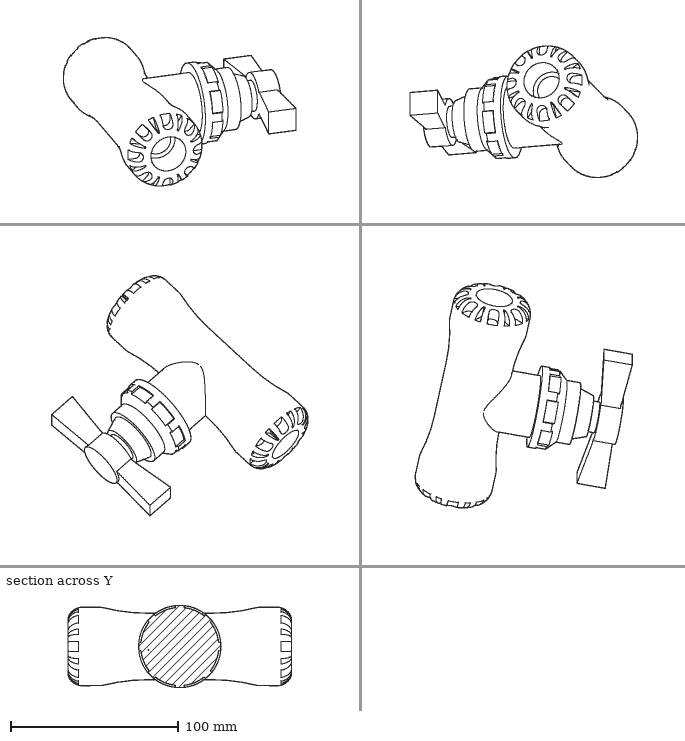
import cadquery as cq
import math


RUN_LENGTH = 134
CAP_RADIUS = 47.0 / 2
CAP_ROUND = 8.0
CAP_LENGTH = 20.2
FLARE_BLEND = 3.6
WAIST_RADIUS = 39.9 / 2
WAIST_LENGTH = 38.0
SOCKET_RADIUS = 22.0 / 2
SOCKET_DEPTH = CAP_LENGTH
BORE_DIAMETER = 16.5

SLOT_COUNT = 8
SLOT_DEPTH = 6.5
SLOT_WIDTH = 6.2
SLOT_INNER_RADIUS = 15.8
WEDGE_APEX_RADIUS = 13.5
WEDGE_HALF_ANGLE = 10

OVERALL_DEPTH = 112.5
NUT_START = 37.7
NUT_RECESS_START = 42.3
COLLAR_START = 53.9
BONNET_START = 62.2
STEM_START = 71.3
HUB_START = 75.6
BRANCH_END = OVERALL_DEPTH - CAP_RADIUS
NECK_RADIUS = 37.7 / 2
NUT_RADIUS = 49.3 / 2
BONNET_BASE_RADIUS = 31.2 / 2
BONNET_TOP_RADIUS = 25.0 / 2
STEM_RADIUS = 18.8 / 2
HUB_RADIUS = 28.1 / 2

RECESS_COUNT = 8
RECESS_DEPTH = 1.2
RECESS_ANGLE = 32

HANDLE_SPAN = 84.4
HANDLE_THICKNESS = 14.3
HANDLE_TIP_DROP = 3.9
HANDLE_ROOT_STEP = 1.5

HALF_RUN = RUN_LENGTH / 2
HALF_WAIST = WAIST_LENGTH / 2


def run_body():
    """Solid run: waist, a flare on each side and a rounded cap at each end."""
    flare_end = HALF_RUN - CAP_LENGTH
    flare_run = flare_end - HALF_WAIST
    flare_rise = CAP_RADIUS - WAIST_RADIUS
    flare_arc_radius = (flare_run**2 + flare_rise**2) / (2 * flare_rise)
    flare_mid_x = flare_run / 2
    flare_mid_rise = flare_arc_radius - math.sqrt(flare_arc_radius**2 - flare_mid_x**2)
    flare_mid = (HALF_WAIST + flare_mid_x, WAIST_RADIUS + flare_mid_rise)
    round_start = HALF_RUN - CAP_ROUND
    round_offset = CAP_ROUND * math.sqrt(0.5)
    round_mid = (round_start + round_offset, CAP_RADIUS - CAP_ROUND + round_offset)
    end_profile = (
        cq.Workplane("XY")
        .moveTo(HALF_WAIST, 0)
        .lineTo(HALF_WAIST, WAIST_RADIUS)
        .threePointArc(flare_mid, (flare_end, CAP_RADIUS))
        .lineTo(round_start, CAP_RADIUS)
        .threePointArc(round_mid, (HALF_RUN, CAP_RADIUS - CAP_ROUND))
        .lineTo(HALF_RUN, 0)
        .close()
    )
    end = end_profile.revolve(360, (0, 0, 0), (1, 0, 0))
    cap_edge = cq.selectors.NearestToPointSelector((flare_end, 0, 0))
    end = end.edges(cap_edge).fillet(FLARE_BLEND)
    waist = cq.Workplane("YZ", origin=(-HALF_WAIST, 0, 0)).circle(WAIST_RADIUS).extrude(WAIST_LENGTH)
    return waist.union(end).union(end.mirror("YZ"))


def cap_slots():
    """Cutters for one cap (+X end): round-ended slots alternating with wedge slots."""
    floor = cq.Workplane("YZ", origin=(HALF_RUN - SLOT_DEPTH, 0, 0))
    outside = CAP_RADIUS + SLOT_WIDTH
    round_center = SLOT_INNER_RADIUS + SLOT_WIDTH / 2
    straight = outside - round_center
    wide_slot = (
        floor.moveTo(round_center + straight / 2, 0)
        .rect(straight, SLOT_WIDTH)
        .extrude(SLOT_DEPTH)
        .union(floor.moveTo(round_center, 0).circle(SLOT_WIDTH / 2).extrude(SLOT_DEPTH))
    )
    wedge_half_width = (outside - WEDGE_APEX_RADIUS) * math.tan(math.radians(WEDGE_HALF_ANGLE))
    face_radius = CAP_RADIUS - CAP_ROUND
    wedge_slot = (
        floor.moveTo(WEDGE_APEX_RADIUS, 0)
        .lineTo(outside, wedge_half_width)
        .lineTo(outside, -wedge_half_width)
        .close()
        .extrude(SLOT_DEPTH)
        .cut(floor.circle(face_radius).extrude(SLOT_DEPTH))
    )
    pitch = 360 / SLOT_COUNT
    cutters = cq.Workplane()
    for i in range(SLOT_COUNT):
        cutters = cutters.add(wide_slot.rotate((0, 0, 0), (1, 0, 0), i * pitch))
        cutters = cutters.add(wedge_slot.rotate((0, 0, 0), (1, 0, 0), (i + 0.5) * pitch))
    return cutters.combine()


def run_bore():
    """Through bore with a wider pipe socket at each end."""
    bore = cq.Workplane("YZ").circle(BORE_DIAMETER / 2).extrude(HALF_RUN, both=True)
    socket = (
        cq.Workplane("YZ", origin=(HALF_RUN - SOCKET_DEPTH, 0, 0))
        .circle(SOCKET_RADIUS)
        .extrude(SOCKET_DEPTH)
    )
    return bore.union(socket).union(socket.mirror("YZ"))


def branch_body():
    """Neck, union nut, collar, conical bonnet, stem and handle hub, turned about Y."""
    nut_chamfer_start = COLLAR_START - (NUT_RADIUS - NECK_RADIUS)
    return (
        cq.Workplane("XY")
        .lineTo(NECK_RADIUS, 0)
        .lineTo(NECK_RADIUS, NUT_START)
        .lineTo(NUT_RADIUS, NUT_START)
        .lineTo(NUT_RADIUS, nut_chamfer_start)
        .lineTo(NECK_RADIUS, COLLAR_START)
        .lineTo(NECK_RADIUS, BONNET_START)
        .lineTo(BONNET_BASE_RADIUS, BONNET_START)
        .lineTo(BONNET_TOP_RADIUS, STEM_START)
        .lineTo(STEM_RADIUS, STEM_START)
        .lineTo(STEM_RADIUS, HUB_START)
        .lineTo(HUB_RADIUS, HUB_START)
        .lineTo(HUB_RADIUS, BRANCH_END)
        .lineTo(0, BRANCH_END)
        .close()
        .revolve(360, (0, 0, 0), (0, 1, 0))
    )


def nut_recesses():
    """Shallow recesses around the nut, open towards its sloped shoulder."""
    recess = (
        cq.Workplane("XY")
        .moveTo(NUT_RADIUS - RECESS_DEPTH, NUT_RECESS_START)
        .lineTo(NUT_RADIUS + RECESS_DEPTH, NUT_RECESS_START)
        .lineTo(NUT_RADIUS + RECESS_DEPTH, COLLAR_START)
        .lineTo(NUT_RADIUS - RECESS_DEPTH, COLLAR_START)
        .close()
        .revolve(RECESS_ANGLE, (0, 0, 0), (0, 1, 0))
    )
    pitch = 360 / RECESS_COUNT
    first_angle = (pitch - RECESS_ANGLE) / 2
    cutters = cq.Workplane()
    for i in range(RECESS_COUNT):
        cutters = cutters.add(recess.rotate((0, 0, 0), (0, 1, 0), first_angle + i * pitch))
    return cutters.combine()


def handle_arms():
    """Two flat arms that widen from the hub to their tips."""
    tip_x = HANDLE_SPAN / 2
    tip_bottom = HUB_START - HANDLE_TIP_DROP
    root_top = BRANCH_END - HANDLE_ROOT_STEP
    arm = (
        cq.Workplane("XY")
        .moveTo(0, HUB_START)
        .lineTo(HUB_RADIUS, HUB_START)
        .lineTo(tip_x, tip_bottom)
        .lineTo(tip_x, BRANCH_END)
        .lineTo(HUB_RADIUS, root_top)
        .lineTo(0, root_top)
        .close()
        .extrude(HANDLE_THICKNESS / 2, both=True)
    )
    return arm.union(arm.mirror("YZ"))


slots = cap_slots()
branch = branch_body().cut(nut_recesses()).union(handle_arms())
result = run_body().cut(slots).cut(slots.mirror("YZ")).union(branch).cut(run_bore())